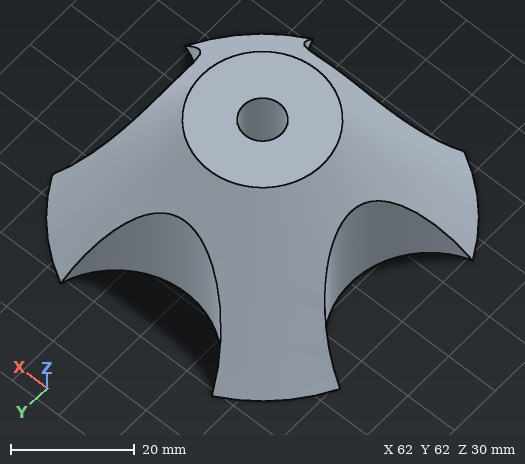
import cadquery as cq
import math

overall_width = 62
height = 30.0
top_radius = 12.95

bore_diameter = 8.2

scallop_count = 4
scallop_radius = 17.0
neck_radius = 19.0
scallop_center_distance = neck_radius + scallop_radius

foot_corner_reach = overall_width / 2
foot_corner_offset = math.sqrt(scallop_radius**2 - (scallop_center_distance - foot_corner_reach) ** 2)
base_radius = math.hypot(foot_corner_reach, foot_corner_offset)


def cone_body():
    """Truncated cone standing on the XY plane."""
    half_profile = (
        cq.Workplane("XZ")
        .polyline([(0, 0), (base_radius, 0), (top_radius, height), (0, height)])
        .close()
    )
    return half_profile.revolve(360, (0, 0), (0, 1))


def scallops():
    """Vertical cylinders spaced evenly around the cone, on the X and Y axes."""
    return (
        cq.Workplane("XY")
        .polarArray(scallop_center_distance, 0, 360, scallop_count)
        .circle(scallop_radius)
        .extrude(height)
    )


def bore():
    """Cylinder along the axis through the full height."""
    return cq.Workplane("XY").circle(bore_diameter / 2).extrude(height)


result = cone_body().cut(scallops()).cut(bore())